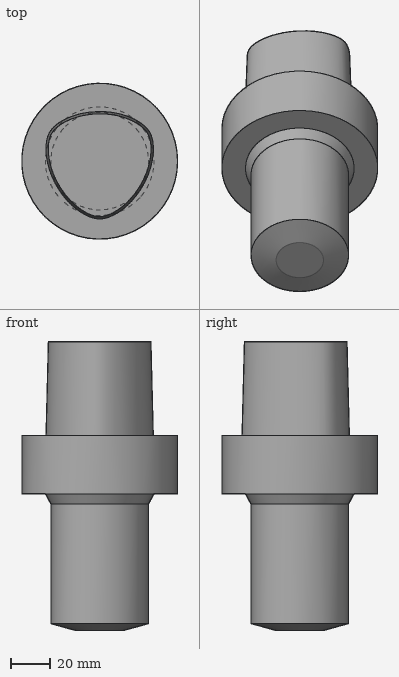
import cadquery as cq
import math

total_height = 148.0
shank_diameter = 50.0
flange_diameter = 79.9
flange_height = 30.0
tip_height = 3.5
tip_diameter = 24.3
collar_height = 5.2
collar_diameter = 55.6

polygon_height = 48.0
polygon_base_diameter = 55.0
polygon_taper = 1 / 20
polygon_eccentricity = 2.0
points_per_polygon = 36

flange_top = total_height - polygon_height
flange_bottom = flange_top - flange_height
collar_bottom = flange_bottom - collar_height
polygon_top_diameter = polygon_base_diameter - polygon_taper * polygon_height


def make_turned_body():
    """Pointed shank, conical collar and flange, revolved about Z."""
    return (
        cq.Workplane("XZ")
        .moveTo(0, 0)
        .lineTo(tip_diameter / 2, 0)
        .lineTo(shank_diameter / 2, tip_height)
        .lineTo(shank_diameter / 2, collar_bottom)
        .lineTo(collar_diameter / 2, flange_bottom)
        .lineTo(flange_diameter / 2, flange_bottom)
        .lineTo(flange_diameter / 2, flange_top)
        .lineTo(0, flange_top)
        .close()
        .revolve(360, (0, 0, 0), (0, 1, 0))
    )


def polygon_point(mean_diameter, angle):
    """Point on the three-lobed curve, with one lobe pointing along -Y."""
    radius = mean_diameter / 2
    e = polygon_eccentricity
    along = radius * math.cos(angle) - 2 * e * math.cos(2 * angle) + e * math.cos(4 * angle)
    across = radius * math.sin(angle) + 2 * e * math.sin(2 * angle) + e * math.sin(4 * angle)
    return -across, along


def polygon_wire(mean_diameter, height):
    """Closed smooth outline of the polygon at the given height."""
    step = 2 * math.pi / points_per_polygon
    points = [
        cq.Vector(*polygon_point(mean_diameter, step * index), height)
        for index in range(points_per_polygon)
    ]
    outline = cq.Edge.makeSpline(points, periodic=True)
    return cq.Wire.assembleEdges([outline])


def make_polygon_shank():
    """Loft between the polygon outlines at the flange and at the top."""
    base = polygon_wire(polygon_base_diameter, flange_top)
    top = polygon_wire(polygon_top_diameter, total_height)
    return cq.Workplane(cq.Solid.makeLoft([base, top], True))


result = make_turned_body().union(make_polygon_shank())